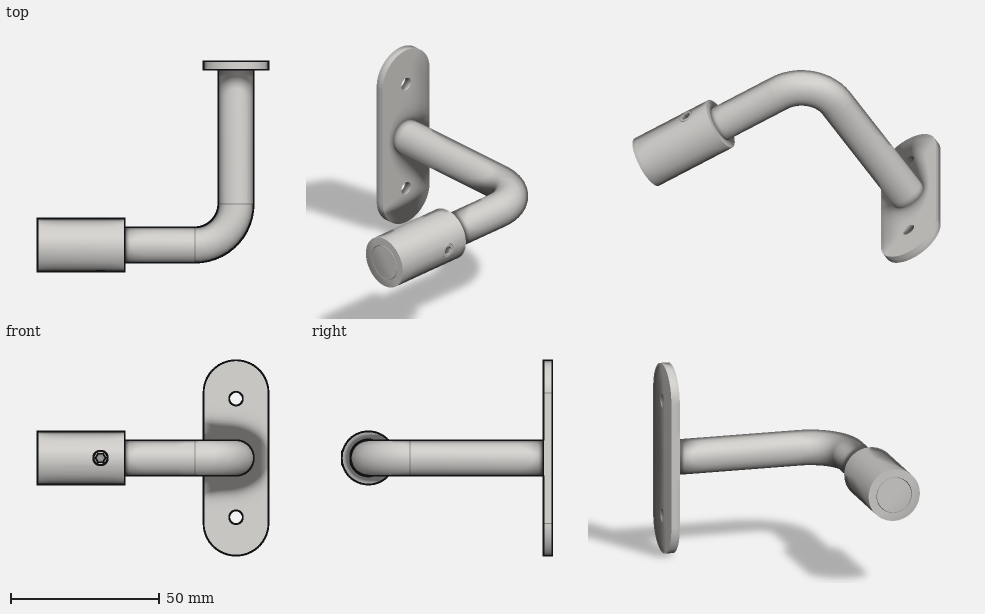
import cadquery as cq

plate_width = 22.0
plate_height = 66.0
plate_thickness = 3.0
plate_hole_diameter = 4.5
plate_hole_spacing = 40.0

rod_diameter = 12.0
bend_radius = 14.0
plate_back_y = 62.0
plate_center_x = 78 - plate_width / 2
plate_front_y = plate_back_y - plate_thickness
bend_start_x = plate_center_x - bend_radius

collar_diameter = 18.0
collar_length = 29.5
bore_diameter = 12.4
collar_radius = collar_diameter / 2

screw_x = 21.3
screw_hole_diameter = 5.0
screw_diameter = 4.7
screw_head_inset = 0.1
socket_flats = 3.0
socket_depth = 2.0
socket_corners = socket_flats * 2 / 3**0.5
screw_head_y = screw_head_inset - collar_radius
screw_length = collar_radius - screw_head_inset - rod_diameter / 2


def make_bracket():
    """Slotted-end wall plate with the bent rod growing from its front face."""
    plate = (
        cq.Workplane("XZ", origin=(plate_center_x, plate_back_y, 0))
        .slot2D(plate_height, plate_width, 90)
        .extrude(plate_thickness)
        .faces("<Y")
        .workplane(origin=(plate_center_x, plate_front_y, 0))
        .rarray(0.8, plate_hole_spacing, 1, 2)
        .hole(plate_hole_diameter)
    )
    rod_path = (
        cq.Workplane("XY")
        .lineTo(bend_start_x, 0)
        .tangentArcPoint((plate_center_x, bend_radius), relative=False)
        .lineTo(plate_center_x, plate_front_y)
    )
    rod = cq.Workplane("YZ").circle(rod_diameter / 2).sweep(rod_path)
    return plate.union(rod)


def screw_cylinder(diameter, head_y, length):
    """Cylinder on the set screw axis, running from head_y towards the rod."""
    return (
        cq.Workplane("XZ", origin=(screw_x, head_y, 0))
        .circle(diameter / 2)
        .extrude(-length)
    )


def make_collar():
    """Sleeve around the rod end, with a radial hole for the set screw."""
    sleeve = (
        cq.Workplane("YZ")
        .circle(collar_radius)
        .circle(bore_diameter / 2)
        .extrude(collar_length)
    )
    return sleeve.cut(screw_cylinder(screw_hole_diameter, -collar_radius, collar_radius))


def make_set_screw():
    """Headless screw with a hexagon socket; its tip rests on the rod."""
    blank = screw_cylinder(screw_diameter, screw_head_y, screw_length)
    socket = (
        cq.Workplane("XZ", origin=(screw_x, screw_head_y, 0))
        .polygon(6, socket_corners)
        .extrude(-socket_depth)
    )
    return blank.cut(socket)


bracket = make_bracket()
collar = make_collar()
set_screw = make_set_screw()

result = cq.Compound.makeCompound([bracket.val(), collar.val(), set_screw.val()])